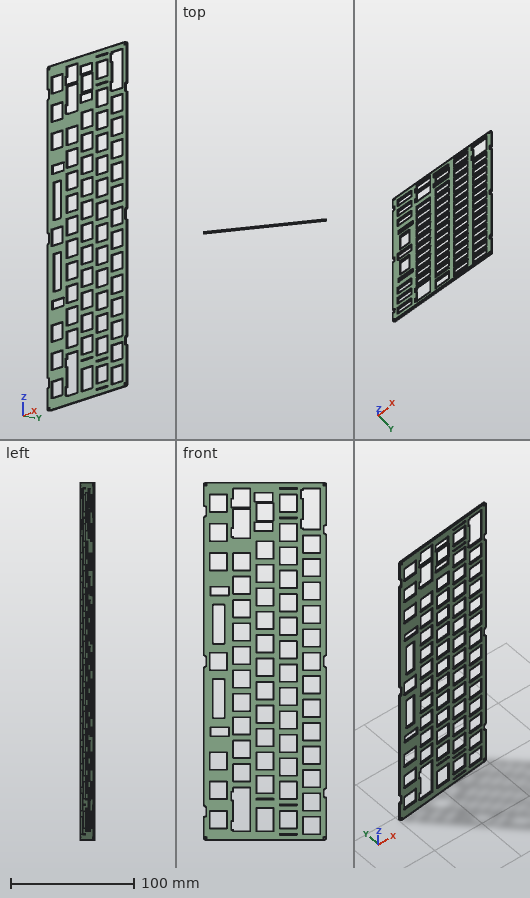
import cadquery as cq

KEY_UNIT = 19.05
ROW_COUNT = 5
ROW_UNITS = 15
MARGIN = 2.375
PLATE_WIDTH = ROW_COUNT * KEY_UNIT + 2 * MARGIN
PLATE_LENGTH = ROW_UNITS * KEY_UNIT + 2 * MARGIN
PLATE_THICKNESS = 1.5
TILT_ANGLE = 6.0
CORNER_RADIUS = 2.0
CORNER_HOLE_DIAMETER = 1.96
CORNER_HOLE_INSET = 1.5

SWITCH_SIZE = 14.0
OPENING_RADIUS = 0.3
MIDDLE_UNIT = ROW_UNITS / 2
BOTTOM_ROW, SHIFT_ROW, HOME_ROW, TAB_ROW, NUMBER_ROW = range(ROW_COUNT)
TAB_ROW_ENDS = (0.75, ROW_UNITS - 0.75)
ENTER = 1.125
SWITCHES = {
    BOTTOM_ROW: [0.75, 2.0, 3.25, MIDDLE_UNIT, 11.75, 13.0, 14.25],
    SHIFT_ROW: [3.25 + i for i in range(10)],
    HOME_ROW: [ENTER] + [2.75 + i for i in range(11)],
    TAB_ROW: [TAB_ROW_ENDS[0]] + [2.0 + i for i in range(12)] + [TAB_ROW_ENDS[1]],
    NUMBER_ROW: [2.5 + i for i in range(13)],
}

FUNCTION_KEY = 0.5
RIGHT_SHIFT = 1.375
SHORT_RIGHT_SHIFT = 1.875
LEFT_SHIFT = 13.875
SPLIT_LEFT_SHIFT = (13.25, 14.375)
BACKSPACE = 1.0
SPLIT_BACKSPACE = (0.5, 1.5)
CAPS_LOCK = (14.125, 14.375)

STABILIZER_LENGTH = 7.0
STABILIZER_NEAR = 6.4
STABILIZER_FAR = 8.6
STABILIZER_OFFSET = 11.938
SPACE_STABILIZER_OFFSET = 57.15

SLOT_LENGTH = 0.8
CAPS_SLOT_GAP = 7.2

WINDOW_WIDTH = 9.8
WINDOW_LENGTH = 31.8
WINDOW_ACROSS = 12.15
WINDOW_OFFSET = 30.2
WINDOW_RADIUS = 0.93

NOTCH_DEPTH = 2.0
NOTCH_SLOPE = 1.4
NOTCH_RADIUS = 0.93
LEFT_NOTCH_OUTER = 19.2
LEFT_NOTCH_INNER = 28.2
RIGHT_NOTCH_OUTER = 34.8
RIGHT_NOTCH_INNER = 42.3
MIDDLE_NOTCH_LENGTH = 10.2
NOTCH_CUTTER_MARGIN = 5.0


def row_x(row):
    """Place of a row's centre line across the plate."""
    return (row - (ROW_COUNT - 1) / 2) * KEY_UNIT


def unit_z(unit):
    """Height of a place along the rows."""
    return (MIDDLE_UNIT - unit) * KEY_UNIT


def prism(x_min, x_max, z_min, z_max):
    """Sharp-edged cutter through the plate."""
    return (
        cq.Workplane("XZ", origin=((x_min + x_max) / 2, 0, (z_min + z_max) / 2))
        .rect(x_max - x_min, z_max - z_min)
        .extrude(PLATE_THICKNESS, both=True)
    )


def switch(row, first, last=None):
    """Cutter for one switch, or for a switch at either of two places."""
    x = row_x(row)
    half = SWITCH_SIZE / 2
    return prism(x - half, x + half, unit_z(last or first) - half, unit_z(first) + half)


def stabilizer(row, z, left=STABILIZER_FAR, right=STABILIZER_NEAR):
    """Cutter for one stabilizer, with its reach to both sides of the row's centre line."""
    x = row_x(row)
    half = STABILIZER_LENGTH / 2
    return prism(x - left, x + right, z - half, z + half)


def slot(row, z):
    """Cutter for a slot as wide as a switch."""
    x = row_x(row)
    return prism(x - SWITCH_SIZE / 2, x + SWITCH_SIZE / 2, z - SLOT_LENGTH / 2, z + SLOT_LENGTH / 2)


def joined(*cutters):
    """One cutter from overlapping ones."""
    whole = cutters[0]
    for cutter in cutters[1:]:
        whole = whole.union(cutter)
    return whole.clean()


def rounded(cutter, radius=OPENING_RADIUS):
    """The cutter with all its edges through the plate rounded."""
    return cutter.edges("|Y").fillet(radius)


def stabilizers(row, unit):
    """Upper and lower stabilizer cutter of a wide key."""
    return [stabilizer(row, unit_z(unit) + offset) for offset in (STABILIZER_OFFSET, -STABILIZER_OFFSET)]


def switch_openings():
    """One square opening for every key with a single switch place."""
    return [rounded(switch(row, unit)) for row, units in SWITCHES.items() for unit in units]


def right_shift_openings():
    """The function key joins the upper stabilizer, both right shift places join the lower one."""
    x = row_x(SHIFT_ROW)
    half = SWITCH_SIZE / 2
    upper, lower = stabilizers(SHIFT_ROW, RIGHT_SHIFT)
    upper_end = unit_z(RIGHT_SHIFT) + STABILIZER_OFFSET - STABILIZER_LENGTH / 2
    function_key = prism(x - half, x + half, upper_end, unit_z(FUNCTION_KEY) + half)
    shift = switch(SHIFT_ROW, RIGHT_SHIFT, SHORT_RIGHT_SHIFT)
    return [rounded(joined(function_key, upper)), rounded(joined(shift, lower))]


def wide_key_openings():
    """Left shift and backspace join their stabilizers, the enter stabilizers stand apart."""
    left_shift = joined(switch(SHIFT_ROW, *SPLIT_LEFT_SHIFT), *stabilizers(SHIFT_ROW, LEFT_SHIFT))
    backspace = joined(switch(NUMBER_ROW, *SPLIT_BACKSPACE), *stabilizers(NUMBER_ROW, BACKSPACE))
    caps_lock = switch(HOME_ROW, *CAPS_LOCK)
    return [rounded(cutter) for cutter in (left_shift, backspace, caps_lock, *stabilizers(HOME_ROW, ENTER))]


def space_bar_openings():
    """Stabilizers, turned the other way round, and windows on both sides of the space bar switch."""
    cutters = []
    x = WINDOW_ACROSS - PLATE_WIDTH / 2
    for side in (1, -1):
        z = side * SPACE_STABILIZER_OFFSET
        cutters.append(rounded(stabilizer(BOTTOM_ROW, z, STABILIZER_NEAR, STABILIZER_FAR)))
        z = side * WINDOW_OFFSET
        window = prism(
            x - WINDOW_WIDTH / 2, x + WINDOW_WIDTH / 2, z - WINDOW_LENGTH / 2, z + WINDOW_LENGTH / 2
        )
        cutters.append(rounded(window, WINDOW_RADIUS))
    return cutters


def slots():
    """Slots on both sides of the tab row's end keys, and one above caps lock."""
    places = [
        (TAB_ROW, unit_z(unit) + offset)
        for unit in TAB_ROW_ENDS
        for offset in (STABILIZER_OFFSET, -STABILIZER_OFFSET)
    ]
    places.append((HOME_ROW, unit_z(CAPS_LOCK[0]) + SWITCH_SIZE / 2 + CAPS_SLOT_GAP))
    return [rounded(slot(row, z)) for row, z in places]


def notch(upper, lower, upper_slope=NOTCH_SLOPE):
    """Cutter for a notch in the right edge. A strip outside the edge lets its mouth be rounded too."""
    edge = PLATE_WIDTH / 2
    floor = edge - NOTCH_DEPTH
    outside = edge + NOTCH_CUTTER_MARGIN
    profile = [
        (outside, upper + NOTCH_CUTTER_MARGIN),
        (edge, upper + NOTCH_CUTTER_MARGIN),
        (edge, upper),
        (floor, upper - upper_slope),
        (floor, lower + NOTCH_SLOPE),
        (edge, lower),
        (edge, lower - NOTCH_CUTTER_MARGIN),
        (outside, lower - NOTCH_CUTTER_MARGIN),
    ]
    cutter = cq.Workplane("XZ").polyline(profile).close().extrude(PLATE_THICKNESS, both=True)
    return rounded(cutter, NOTCH_RADIUS)


def notches():
    """Three notches in each long edge, alike above and below the middle."""
    end = PLATE_LENGTH / 2
    right = notch(end - RIGHT_NOTCH_OUTER, end - RIGHT_NOTCH_INNER, upper_slope=0)
    left = notch(end - LEFT_NOTCH_OUTER, end - LEFT_NOTCH_INNER, upper_slope=0).mirror("YZ")
    middle = notch(MIDDLE_NOTCH_LENGTH / 2, -MIDDLE_NOTCH_LENGTH / 2)
    return [right, right.mirror("XY"), left, left.mirror("XY"), middle, middle.mirror("YZ")]


def blank_plate():
    """Plate with rounded corners and a small hole in each of them."""
    return (
        cq.Workplane("XZ")
        .rect(PLATE_WIDTH, PLATE_LENGTH)
        .extrude(PLATE_THICKNESS / 2, both=True)
        .edges("|Y")
        .fillet(CORNER_RADIUS)
        .faces("<Y")
        .workplane(origin=(0, 0, 0))
        .rect(PLATE_WIDTH - 2 * CORNER_HOLE_INSET, PLATE_LENGTH - 2 * CORNER_HOLE_INSET, forConstruction=True)
        .vertices()
        .hole(CORNER_HOLE_DIAMETER)
    )


plate = blank_plate()
for cutter in (
    switch_openings()
    + right_shift_openings()
    + wide_key_openings()
    + space_bar_openings()
    + slots()
    + notches()
):
    plate = plate.cut(cutter)

result = plate.rotate((0, 0, 0), (0, 0, 1), TILT_ANGLE)